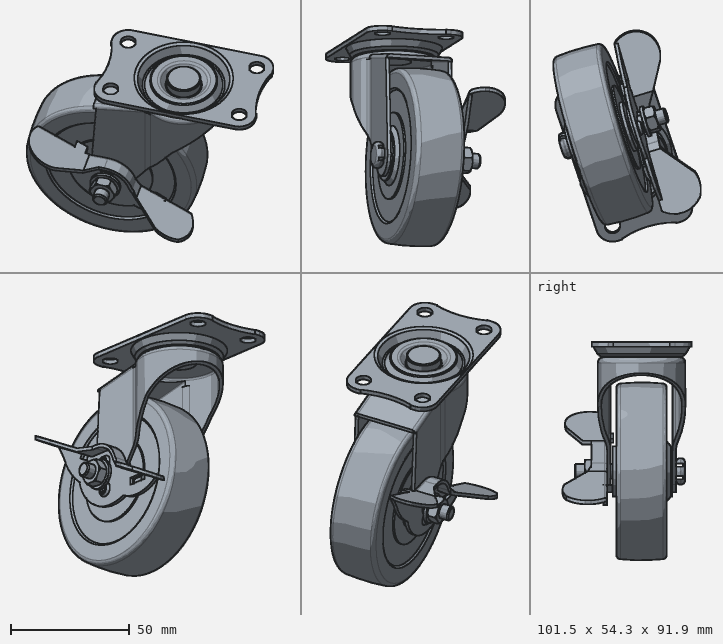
import cadquery as cq
import math


SWIVEL_X = 29.0
PLATE_TOP = 54.4
FORK_TOP = 48.0
SHEET = 1.5
AXLE_RADIUS = 3.1
KINGPIN_RADIUS = 7.2

PLATE_HALF_WIDTH = 21.0
PLATE_THICKNESS = 2.0
BOLT_HOLE_X = 28.0
BOLT_HOLE_Y = 14.0
BOLT_HOLE_RADIUS = 3.2
PLATE_CORNER_RADIUS = PLATE_HALF_WIDTH - BOLT_HOLE_Y
WAIST_HALF_LENGTH = 32.8
DISH_RIM_RADIUS = 20.8
DISH_FLOOR = -4.1
DISH_RIDGE = -1.0
RIDGE_EDGE_DROP = 0.5

WHEEL_RADIUS = 37.5
WHEEL_HALF_WIDTH = 10.7
TREAD_CROWN = 0.6
TREAD_FILLET = 1.9
RECESS_OUTER_RADIUS = 28.6
RECESS_INNER_RADIUS = 18.3
RECESS_DEPTH = 0.8
HUB_RADIUS = 10.7
HUB_CONE_RADIUS = 12.6
HUB_REAR_END = -12.2
HUB_CONE_END = 12.3

CUP_RADIUS = 18.5
CUP_FILLET = 2.3
LEG_OUTER_Y = 14.5
LEG_BLEND_RADIUS = 4.7
BLEND_DROP = 1.0
ROOF_FILLET = 1.7
FOOT_RADIUS = 7.8
FOOT_Z = -1.0
ROOF_EDGE_X = -6.5
ROOF_EDGE_Z = 42.3
ROOF_SLOPE = math.radians(10.7)
ROOF_LIP = 1.2
SKIRT_BEND = (28.8, 27.3)
SKIRT_MIDDLE = (39.9, 36.4)
SKIRT_END_Z = 41.3

LEVER_INNER_Y = -LEG_OUTER_Y
LEVER_OUTER_Y = LEVER_INNER_Y - SHEET
ARCH_RADIUS = 12.8
ARCH_END = math.radians(16)
WING_SLOPE = math.radians(27)
LEFT_BEND_X = -7.9
LEFT_TIP_X = -32.1
RIGHT_BEND = (14.6, 0.1)
RIGHT_TIP_X = 38.8
FOLD_FILLET = 1.2
LEVER_REACH_Y = -33.3
ARCH_REACH_Y = -21.1
STOP_TAB_X = (-14.2, -9.6)
STOP_TAB_Y = -11.9
NOTCH_DEPTH = 2.0
WINDOW_X = (16.1, 25.3)
WINDOW_Z = (-8.8, -5.7)
BRAKE_TAB_Y = -12.3
BRAKE_TAB_RAMP_X = 20.6
BUMP_Z = 6.1
BUMP_BASE_RADIUS = 3.1
BUMP_TOP_RADIUS = 2.3
BUMP_HOLE_RADIUS = 1.6
BUMP_HEIGHT = 1.3

HEAD_RADIUS = 5.6
HEAD_HEIGHT = 3.8
HEAD_FILLET = 1.7
HEAD_CAP = 0.9
HEAD_SLOT_Z = 2.6
HEAD_SLOT_WIDTH = 1.2
BOLT_END_Y = -28.2
BOLT_CHAMFER = 0.6
WASHER_Y = -18.3
WASHER_RADIUS = 6.5
WASHER_THICKNESS = 1.3
NUT_FLATS = 9.9
NUT_END_Y = -24.0
NUT_CHAMFER = 0.6
KINGPIN_CHAMFER = 0.5


def cylinder_along_y(radius, start_y, end_y, z=0):
    """Cylinder parallel to the axle."""
    length = end_y - start_y
    return cq.Workplane("XZ", origin=(0, start_y, z)).circle(radius).extrude(-length)


def prism_along_y(outline, start_y, end_y):
    """Extrude an outline drawn on an XZ workplane at Y = 0 between two Y positions."""
    return outline.extrude(start_y - end_y).translate((0, start_y, 0))


def make_top_plate():
    run = WAIST_HALF_LENGTH - BOLT_HOLE_X
    waist_radius = (run**2 + BOLT_HOLE_Y**2 - PLATE_CORNER_RADIUS**2) / (2 * (PLATE_CORNER_RADIUS - run))
    waist_centre_x = WAIST_HALF_LENGTH + waist_radius
    plate = (
        cq.Workplane("XY")
        .rect(2 * (BOLT_HOLE_X + PLATE_CORNER_RADIUS), 2 * PLATE_HALF_WIDTH)
        .extrude(-PLATE_THICKNESS)
        .edges("|Z")
        .fillet(PLATE_CORNER_RADIUS)
    )
    tangent_share = PLATE_CORNER_RADIUS / (PLATE_CORNER_RADIUS + waist_radius)
    tangent_x = BOLT_HOLE_X + (waist_centre_x - BOLT_HOLE_X) * tangent_share
    tangent_y = BOLT_HOLE_Y * (1 - tangent_share)
    for side in (-1, 1):
        hollow = cq.Workplane("XY").center(side * waist_centre_x, 0).circle(waist_radius)
        hollow = hollow.extrude(-PLATE_THICKNESS)
        reach = cq.Workplane("XY").center(side * (tangent_x + waist_radius), 0)
        reach = reach.rect(4 * waist_radius, 2 * tangent_y).extrude(-PLATE_THICKNESS)
        plate = plate.cut(hollow.intersect(reach))
    holes = (
        cq.Workplane("XY")
        .rect(2 * BOLT_HOLE_X, 2 * BOLT_HOLE_Y, forConstruction=True)
        .vertices()
        .circle(BOLT_HOLE_RADIUS)
        .extrude(-PLATE_THICKNESS)
    )
    opening = cq.Workplane("XY").circle(DISH_RIM_RADIUS).extrude(-PLATE_THICKNESS)
    dish_bottom = DISH_FLOOR - PLATE_THICKNESS
    ridge_bottom = DISH_RIDGE - PLATE_THICKNESS
    dish = (
        cq.Workplane("XZ")
        .moveTo(DISH_RIM_RADIUS, 0)
        .lineTo(19.4, -0.6)
        .lineTo(17.4, DISH_FLOOR)
        .lineTo(16.4, DISH_FLOOR)
        .lineTo(14.2, DISH_RIDGE - RIDGE_EDGE_DROP)
        .threePointArc((14.0, DISH_RIDGE - RIDGE_EDGE_DROP / 3), (13.7, DISH_RIDGE))
        .lineTo(11.2, DISH_RIDGE)
        .threePointArc((10.4, DISH_RIDGE - RIDGE_EDGE_DROP / 3), (9.8, DISH_RIDGE - RIDGE_EDGE_DROP))
        .lineTo(7.7, DISH_FLOOR)
        .lineTo(KINGPIN_RADIUS, DISH_FLOOR)
        .lineTo(KINGPIN_RADIUS, dish_bottom)
        .lineTo(8.4, dish_bottom)
        .lineTo(11.2, ridge_bottom)
        .lineTo(13.0, ridge_bottom)
        .lineTo(15.7, dish_bottom)
        .lineTo(17.3, dish_bottom)
        .lineTo(18.7, -4.9)
        .lineTo(20.3, -PLATE_THICKNESS)
        .lineTo(DISH_RIM_RADIUS, -PLATE_THICKNESS)
        .close()
        .revolve(360, (0, 0), (0, 1))
    )
    return plate.cut(holes).cut(opening).union(dish).translate((SWIVEL_X, 0, PLATE_TOP))


def make_kingpin():
    bottom = FORK_TOP - SHEET
    pin = cq.Workplane("XY", origin=(SWIVEL_X, 0, bottom)).circle(KINGPIN_RADIUS).extrude(PLATE_TOP - bottom)
    return pin.faces(">Z").edges().chamfer(KINGPIN_CHAMFER)


def fork_block(inset, left_x):
    """Cup, leg block and blends of the fork, moved inwards by the inset."""
    cup_radius = CUP_RADIUS - inset
    half_width = LEG_OUTER_Y - inset
    blend_radius = LEG_BLEND_RADIUS + inset
    top = FORK_TOP - inset
    base = FOOT_Z - FOOT_RADIUS
    cup = cq.Workplane("XY", origin=(SWIVEL_X, 0, base)).circle(cup_radius).extrude(top - base)
    cup = cup.faces(">Z").edges().fillet(CUP_FILLET - inset)

    roof_edge_z = ROOF_EDGE_Z - inset / math.cos(ROOF_SLOPE)
    left_z = roof_edge_z + (left_x - ROOF_EDGE_X) * math.tan(ROOF_SLOPE)
    right_x = ROOF_EDGE_X + (top - roof_edge_z) / math.tan(ROOF_SLOPE)
    block = (
        cq.Workplane("XZ")
        .polyline([(left_x, base), (left_x, left_z), (right_x, top), (right_x, base)])
        .close()
        .extrude(half_width, both=True)
    )
    along_roof = cq.selectors.ParallelDirSelector(cq.Vector(math.cos(ROOF_SLOPE), 0, math.sin(ROOF_SLOPE)))
    block = block.edges(along_roof).fillet(ROOF_FILLET - inset)

    blend_y = half_width + blend_radius
    blend_x = -math.sqrt((cup_radius + blend_radius) ** 2 - blend_y**2)
    share = cup_radius / (cup_radius + blend_radius)
    blends = cq.Workplane("XY", origin=(SWIVEL_X, 0, base))
    for side in (-1, 1):
        blends = (
            blends.moveTo(blend_x, side * half_width)
            .radiusArc((blend_x * share, side * blend_y * share), -side * blend_radius)
            .lineTo(blend_x * share, 0)
            .lineTo(blend_x, 0)
            .close()
        )
    blend_top = top - CUP_FILLET - BLEND_DROP
    return cup.union(block).union(blends.extrude(blend_top - base))


def fork_side_outline():
    """Side view of the fork: rounded foot, leg edges, lip and swept skirt edge."""
    run = SKIRT_BEND[0]
    rise = SKIRT_BEND[1] - FOOT_Z
    tangent_angle = math.atan2(rise, run) - math.acos(FOOT_RADIUS / math.hypot(run, rise))
    tangent = (FOOT_RADIUS * math.cos(tangent_angle), FOOT_Z + FOOT_RADIUS * math.sin(tangent_angle))
    lip_z = ROOF_EDGE_Z - SHEET
    front_x = SWIVEL_X + CUP_RADIUS
    return (
        cq.Workplane("XZ")
        .moveTo(-FOOT_RADIUS, FOOT_Z)
        .lineTo(ROOF_EDGE_X + ROOF_LIP, lip_z)
        .lineTo(ROOF_EDGE_X, lip_z)
        .lineTo(ROOF_EDGE_X, FORK_TOP)
        .lineTo(front_x, FORK_TOP)
        .lineTo(front_x, SKIRT_END_Z)
        .threePointArc(SKIRT_MIDDLE, SKIRT_BEND)
        .lineTo(*tangent)
        .threePointArc((0, FOOT_Z - FOOT_RADIUS), (-FOOT_RADIUS, FOOT_Z))
        .close()
    )


def make_fork():
    outside = fork_block(0, -FOOT_RADIUS)
    inside = fork_block(SHEET, -2 * FOOT_RADIUS)
    side = fork_side_outline().extrude(CUP_RADIUS, both=True)
    fork = outside.intersect(side).cut(inside)
    axle_hole = cylinder_along_y(AXLE_RADIUS, -CUP_RADIUS, CUP_RADIUS)
    pin_hole = cq.Workplane("XY", origin=(SWIVEL_X, 0, FORK_TOP - 2 * SHEET))
    pin_hole = pin_hole.circle(KINGPIN_RADIUS).extrude(3 * SHEET)
    return fork.cut(axle_hole).cut(pin_hole)


def make_wheel():
    edge_radius = WHEEL_RADIUS - TREAD_CROWN
    tread = (
        cq.Workplane("XY")
        .moveTo(AXLE_RADIUS, -WHEEL_HALF_WIDTH)
        .lineTo(edge_radius, -WHEEL_HALF_WIDTH)
        .threePointArc((WHEEL_RADIUS, 0), (edge_radius, WHEEL_HALF_WIDTH))
        .lineTo(AXLE_RADIUS, WHEEL_HALF_WIDTH)
        .close()
        .revolve(360, (0, 0), (0, 1))
    )
    rims = cq.selectors.RadiusNthSelector(-1)
    tread = tread.faces("<Y or >Y").edges(rims).fillet(TREAD_FILLET)

    floor_y = WHEEL_HALF_WIDTH - RECESS_DEPTH
    recess = (
        cq.Workplane("XY")
        .polyline([
            (RECESS_INNER_RADIUS, floor_y),
            (RECESS_OUTER_RADIUS - RECESS_DEPTH, floor_y),
            (RECESS_OUTER_RADIUS, WHEEL_HALF_WIDTH),
            (RECESS_INNER_RADIUS, WHEEL_HALF_WIDTH),
        ])
        .close()
        .revolve(360, (0, 0), (0, 1))
    )
    hub = (
        cq.Workplane("XY")
        .polyline([
            (AXLE_RADIUS, HUB_REAR_END),
            (HUB_RADIUS, HUB_REAR_END),
            (HUB_RADIUS, 0),
            (HUB_CONE_RADIUS, 0),
            (HUB_CONE_RADIUS, WHEEL_HALF_WIDTH),
            (HUB_RADIUS, HUB_CONE_END),
            (HUB_RADIUS, LEG_OUTER_Y - SHEET),
            (AXLE_RADIUS, LEG_OUTER_Y - SHEET),
        ])
        .close()
        .revolve(360, (0, 0), (0, 1))
    )
    return tread.cut(recess).cut(recess.mirror("XZ")).union(hub)


def lever_flange_outline():
    """Edge-on shape of the folded flange: left wing, arch over the axle and right wing."""
    slope = math.tan(WING_SLOPE)
    drop = SHEET / math.cos(WING_SLOPE)
    inner_radius = ARCH_RADIUS - SHEET
    middle = (math.pi / 2 + ARCH_END) / 2
    left_tip_z = ARCH_RADIUS + (LEFT_BEND_X - LEFT_TIP_X) * slope
    right_tip_z = RIGHT_BEND[1] - (RIGHT_TIP_X - RIGHT_BEND[0]) * slope

    def on_arch(radius, angle):
        return radius * math.cos(angle), radius * math.sin(angle)

    return (
        cq.Workplane("XZ")
        .moveTo(LEFT_TIP_X, left_tip_z)
        .lineTo(LEFT_BEND_X, ARCH_RADIUS)
        .lineTo(0, ARCH_RADIUS)
        .threePointArc(on_arch(ARCH_RADIUS, middle), on_arch(ARCH_RADIUS, ARCH_END))
        .lineTo(*RIGHT_BEND)
        .lineTo(RIGHT_TIP_X, right_tip_z)
        .lineTo(RIGHT_TIP_X, right_tip_z - drop)
        .lineTo(RIGHT_BEND[0] - SHEET, RIGHT_BEND[1] - drop + SHEET * slope)
        .lineTo(*on_arch(inner_radius, ARCH_END))
        .threePointArc(on_arch(inner_radius, middle), (0, inner_radius))
        .lineTo(LEFT_BEND_X - SHEET * slope / 2, inner_radius)
        .lineTo(LEFT_TIP_X, left_tip_z - drop)
        .close()
    )


def lever_plan_outline():
    """Flange seen along Z: two rounded wings joined by the narrow arch."""
    return (
        cq.Workplane("XY")
        .moveTo(-29.5, LEVER_INNER_Y)
        .threePointArc((LEFT_TIP_X, -20.8), (-29.5, -29.0))
        .threePointArc((-24.4, -32.1), (-18.2, -31.1))
        .lineTo(-2.2, ARCH_REACH_Y)
        .lineTo(13.0, ARCH_REACH_Y)
        .lineTo(25.6, -32.5)
        .threePointArc((29.7, LEVER_REACH_Y), (35.2, -31.7))
        .threePointArc((RIGHT_TIP_X, -23.9), (36.0, LEVER_INNER_Y))
        .close()
    )


def lever_face_outline():
    """Flat face of the lever below the flange: left arm, belly and right arm."""
    return (
        cq.Workplane("XZ")
        .moveTo(-29.5, 22.0)
        .lineTo(LEFT_BEND_X, ARCH_RADIUS - SHEET)
        .lineTo(0, ARCH_RADIUS - SHEET)
        .lineTo(RIGHT_BEND[0] - SHEET, RIGHT_BEND[1] - SHEET / 2)
        .lineTo(32.0, -10.3)
        .threePointArc((22.3, -14.1), (11.8, -12.2))
        .threePointArc((-4.7, -12.1), (-16.3, 2.2))
        .threePointArc((-23.0, 9.5), (-26.5, 16.5))
        .close()
    )


def make_brake_lever():
    flange = prism_along_y(lever_flange_outline(), LEVER_REACH_Y, LEVER_INNER_Y)
    solid = flange.val()
    probe = cq.Vector(0, -SHEET / 4, SHEET / 4)
    fold = flange.faces(">Y").edges("not |Z")
    fold = fold.filter(lambda edge: not solid.isInside(edge.positionAt(0.5) + probe))
    flange = fold.fillet(FOLD_FILLET)
    plan_depth = 4 * ARCH_RADIUS
    flange = flange.intersect(lever_plan_outline().extrude(plan_depth, both=True))
    arch_fill = cylinder_along_y(ARCH_RADIUS - SHEET, LEVER_OUTER_Y, LEVER_INNER_Y)
    face = prism_along_y(lever_face_outline(), LEVER_OUTER_Y, LEVER_INNER_Y)
    lever = flange.union(face).union(arch_fill)

    notch_width = STOP_TAB_X[1] - STOP_TAB_X[0]
    tab_centre_x = sum(STOP_TAB_X) / 2
    notch_x = tab_centre_x - NOTCH_DEPTH * math.sin(WING_SLOPE)
    under_wing = ARCH_RADIUS + (LEFT_BEND_X - notch_x) * math.tan(WING_SLOPE) - SHEET / math.cos(WING_SLOPE)
    notch = cq.Workplane("XY").box(notch_width, 3 * SHEET, 2 * NOTCH_DEPTH)
    notch = notch.rotate((0, 0, 0), (0, 1, 0), math.degrees(WING_SLOPE))
    lever = lever.cut(notch.translate((notch_x, LEVER_OUTER_Y, under_wing)).intersect(face))

    stop_tab = prism_along_y(lever_flange_outline(), LEVER_OUTER_Y, STOP_TAB_Y)
    tab_span = cq.Workplane("XY").center(tab_centre_x, 0)
    tab_span = tab_span.rect(notch_width, 2 * plan_depth).extrude(plan_depth)
    lever = lever.union(stop_tab.intersect(tab_span))

    window_z = sum(WINDOW_Z) / 2
    window_height = WINDOW_Z[1] - WINDOW_Z[0]
    window = cq.Workplane("XZ").center(sum(WINDOW_X) / 2, window_z)
    window = window.rect(WINDOW_X[1] - WINDOW_X[0], window_height)
    window = prism_along_y(window, LEVER_OUTER_Y, LEVER_INNER_Y)
    brake_tab = (
        cq.Workplane("XY", origin=(0, 0, WINDOW_Z[0]))
        .polyline([
            (WINDOW_X[1], LEVER_OUTER_Y),
            (WINDOW_X[1], LEVER_INNER_Y),
            (BRAKE_TAB_RAMP_X, BRAKE_TAB_Y),
            (WINDOW_X[0], BRAKE_TAB_Y),
            (WINDOW_X[0], BRAKE_TAB_Y - SHEET),
            (BRAKE_TAB_RAMP_X, BRAKE_TAB_Y - SHEET),
        ])
        .close()
        .extrude(window_height)
    )
    lever = lever.cut(window).union(brake_tab)

    for bump_z in (-BUMP_Z, BUMP_Z):
        bump = (
            cq.Workplane("XZ", origin=(0, LEVER_OUTER_Y, bump_z))
            .circle(BUMP_BASE_RADIUS)
            .workplane(offset=BUMP_HEIGHT)
            .circle(BUMP_TOP_RADIUS)
            .loft()
        )
        hollow = cylinder_along_y(BUMP_HOLE_RADIUS, LEVER_OUTER_Y - BUMP_HEIGHT, LEVER_OUTER_Y, z=bump_z)
        lever = lever.union(bump.cut(hollow))
    return lever.cut(cylinder_along_y(AXLE_RADIUS, LEVER_REACH_Y, 0))


def make_axle_bolt():
    shank = cylinder_along_y(AXLE_RADIUS, BOLT_END_Y, LEG_OUTER_Y)
    shank = shank.faces("<Y").edges().chamfer(BOLT_CHAMFER)
    head = cylinder_along_y(HEAD_RADIUS, LEG_OUTER_Y, LEG_OUTER_Y + HEAD_HEIGHT)
    head = head.edges("%CIRCLE").fillet(HEAD_FILLET)
    slot_depth = HEAD_HEIGHT - HEAD_CAP
    for slot_z in (-HEAD_SLOT_Z, HEAD_SLOT_Z):
        slot = cq.Workplane("XY").box(2 * HEAD_RADIUS, slot_depth, HEAD_SLOT_WIDTH)
        head = head.cut(slot.translate((0, LEG_OUTER_Y + slot_depth / 2, slot_z)))
    return shank.union(head)


def make_washer():
    end_y = WASHER_Y - WASHER_THICKNESS
    washer = cylinder_along_y(WASHER_RADIUS, end_y, WASHER_Y)
    return washer.cut(cylinder_along_y(AXLE_RADIUS, end_y, WASHER_Y))


def make_nut():
    start_y = WASHER_Y - WASHER_THICKNESS
    corner_diameter = NUT_FLATS / math.cos(math.pi / 6)
    hexagon = cq.Workplane("XZ").polygon(6, corner_diameter)
    blank = cylinder_along_y(corner_diameter / 2, NUT_END_Y, start_y).edges("%CIRCLE").chamfer(NUT_CHAMFER)
    nut = prism_along_y(hexagon, NUT_END_Y, start_y).intersect(blank)
    return nut.cut(cylinder_along_y(AXLE_RADIUS, NUT_END_Y, start_y))


top_plate = make_top_plate()
kingpin = make_kingpin()
fork = make_fork()
wheel = make_wheel()
brake_lever = make_brake_lever()
axle_bolt = make_axle_bolt()
washer = make_washer()
nut = make_nut()

result = cq.Compound.makeCompound([
    top_plate.val(),
    kingpin.val(),
    fork.val(),
    wheel.val(),
    brake_lever.val(),
    axle_bolt.val(),
    washer.val(),
    nut.val(),
])